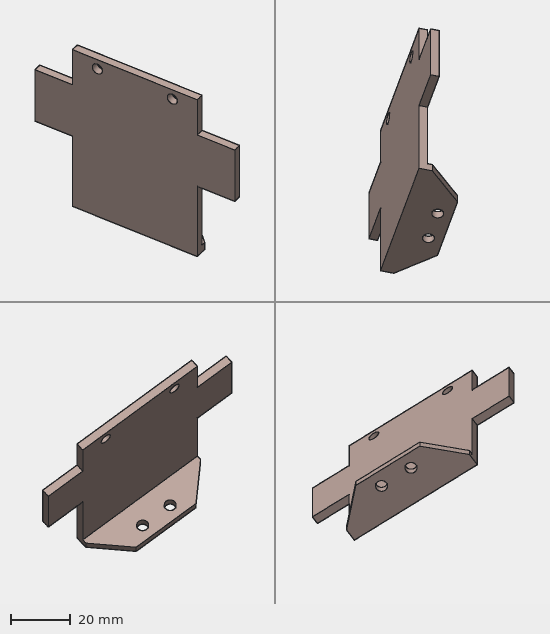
import cadquery as cq

overall_width = 80.0
overall_height = 67.0
body_width = 50.0
thickness = 3.0
arm_bottom = 30.0
arm_height = 22.0

overall_depth = 16.6
corner_cut_width = 12.0
corner_cut_depth = 12.0

hole_diameter = 4.0
plate_hole_spacing = 30.0
plate_hole_top_offset = 4.0
flange_hole_spacing = 12.0
flange_hole_rear_offset = 5.0


def block(width, depth, height, bottom=0.0):
    """Box centred on X, with its front face at Y = 0."""
    box = cq.Workplane("XY").box(width, depth, height, centered=(True, False, False))
    return box.translate((0, 0, bottom))


def make_plate():
    body = block(body_width, thickness, overall_height)
    arms = block(overall_width, thickness, arm_height, arm_bottom)
    hole_height = overall_height - plate_hole_top_offset
    holes = (
        cq.Workplane("XZ")
        .pushPoints([(side * plate_hole_spacing / 2, hole_height) for side in (-1, 1)])
        .circle(hole_diameter / 2)
        .extrude(-thickness)
    )
    return body.union(arms).cut(holes)


def make_flange():
    half_width = body_width / 2
    half_rear = half_width - corner_cut_width
    cut_start = overall_depth - corner_cut_depth
    hole_depth = overall_depth - flange_hole_rear_offset
    outline = [
        (-half_width, 0),
        (half_width, 0),
        (half_width, cut_start),
        (half_rear, overall_depth),
        (-half_rear, overall_depth),
        (-half_width, cut_start),
    ]
    flange = cq.Workplane("XY").polyline(outline).close().extrude(thickness)
    holes = (
        cq.Workplane("XY")
        .pushPoints([(side * flange_hole_spacing / 2, hole_depth) for side in (-1, 1)])
        .circle(hole_diameter / 2)
        .extrude(thickness)
    )
    return flange.cut(holes)


result = make_plate().union(make_flange())